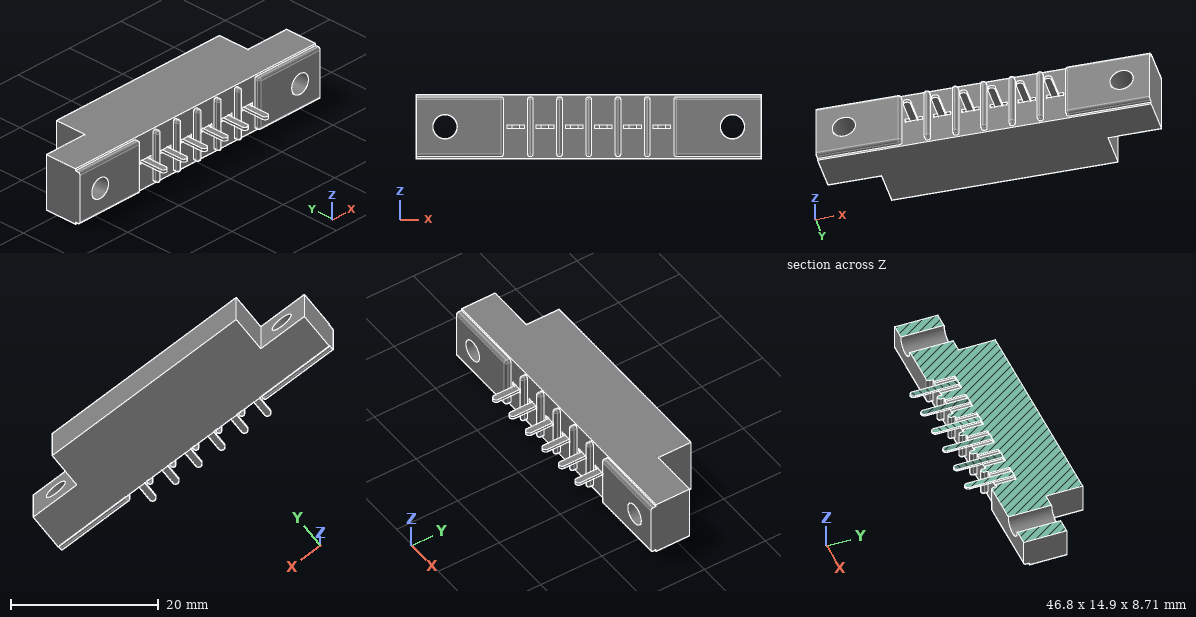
import cadquery as cq

flange_length = 46.79
flange_depth = 5.5
block_length = 31.75
block_depth = 5.37
housing_height = 8.71

mount_hole_diameter = 3.25
mount_hole_pitch = 38.94

raised_height = 0.85
raised_margin = 0.3
raised_length = housing_height - 2 * raised_margin
edge_radius = 0.38
pad_width = 11.87
rib_width = 0.77

contact_count = 6
contact_pitch = 3.96
contact_width = 1.0
contact_thickness = 0.46
overall_depth = 14.88
contact_reach = overall_depth - flange_depth - block_depth
slot_width = 2.4
slot_depth = 3.0


def centred_positions(count, pitch):
    """X positions of a row of equally spaced features centred on X = 0."""
    return [(index - (count - 1) / 2) * pitch for index in range(count)]


def block(x_min, x_max, y_min, y_max, height):
    """Rectangular block centred on Z = 0."""
    return cq.Workplane("XY").box(
        x_max - x_min, y_max - y_min, height, centered=(False, False, True)
    ).translate((x_min, y_min, 0))


def make_pad(side):
    """Mounting pad flush with one end of the flange; side is -1 or +1."""
    outer = flange_length / 2
    pad = block(outer - pad_width, outer, -raised_height, 0, raised_length)
    pad = pad.edges("(<Y and (|X or <X)) or (|Y and <X)").fillet(edge_radius)
    return pad if side > 0 else pad.mirror("YZ")


def make_rib(x):
    """Upright rib between two contacts, with its front edges and upright corners rounded."""
    rib = block(x - rib_width / 2, x + rib_width / 2, -raised_height, 0, raised_length)
    return rib.edges("<Y or |Y").fillet(edge_radius)


def make_slot(x):
    """Blind slot in the contact face, as high as the contact is thick."""
    return block(x - slot_width / 2, x + slot_width / 2, 0, slot_depth, contact_thickness)


def make_mount_hole(x):
    """Round cutter running along Y through the pad and the flange."""
    return (
        cq.Workplane("XZ", origin=(x, flange_depth, 0))
        .circle(mount_hole_diameter / 2)
        .extrude(flange_depth + raised_height)
    )


def make_housing():
    body = block(-flange_length / 2, flange_length / 2, 0, flange_depth, housing_height)
    body = body.union(
        block(-block_length / 2, block_length / 2, flange_depth, flange_depth + block_depth, housing_height)
    )
    for side in (-1, 1):
        body = body.union(make_pad(side))
    for x in centred_positions(contact_count - 1, contact_pitch):
        body = body.union(make_rib(x))
    for x in centred_positions(contact_count, contact_pitch):
        body = body.cut(make_slot(x))
    for x in centred_positions(2, mount_hole_pitch):
        body = body.cut(make_mount_hole(x))
    return body


def make_contact(x):
    """Flat contact tail seated on its slot floor, with a fully rounded tip."""
    half_width = contact_width / 2
    tip_start = -contact_reach + half_width
    return (
        cq.Workplane("XY", origin=(x, 0, -contact_thickness / 2))
        .moveTo(-half_width, slot_depth)
        .lineTo(-half_width, tip_start)
        .threePointArc((0, -contact_reach), (half_width, tip_start))
        .lineTo(half_width, slot_depth)
        .close()
        .extrude(contact_thickness)
    )


housing = make_housing()
contacts = [make_contact(x) for x in centred_positions(contact_count, contact_pitch)]

result = cq.Compound.makeCompound([housing.val(), *[contact.val() for contact in contacts]])